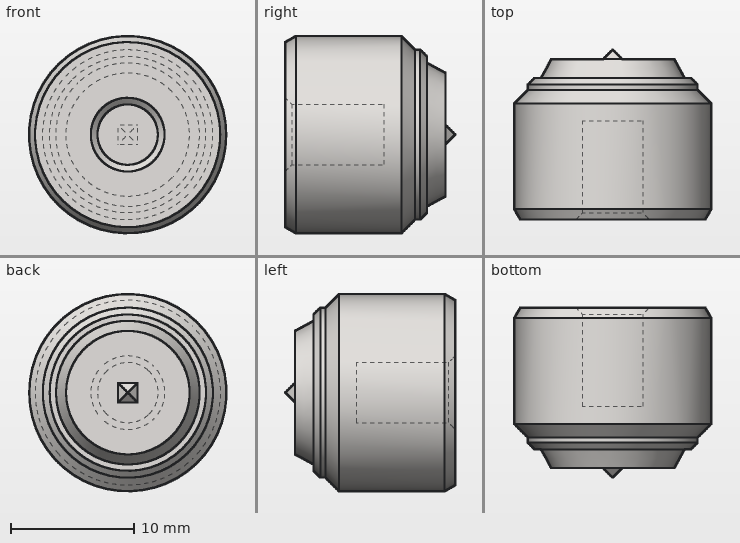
import cadquery as cq

housing_radius = 8.0
front_chamfer_length = 0.86
front_chamfer_height = 0.5
shoulder_y = 9.42
shoulder_chamfer = 1.1
collar_length = 0.42
collar_chamfer = 0.56

collar_radius = housing_radius - shoulder_chamfer
collar_start_y = shoulder_y + shoulder_chamfer
collar_end_y = collar_start_y + collar_length
seat_y = collar_end_y + collar_chamfer

hole_radius = 2.45
hole_depth = 8.0
countersink = 0.55

insert_base_radius = 5.82
insert_top_radius = 5.0
insert_thickness = 1.5
point_height = 0.78

insert_top_y = seat_y + insert_thickness


def revolve_about_y(profile):
    """Turn a closed (radius, Y) outline a full circle about the Y axis."""
    return cq.Workplane("XY").polyline(profile).close().revolve(360, (0, 0, 0), (0, 1, 0))


def make_housing():
    body = revolve_about_y([
        (0, 0),
        (housing_radius - front_chamfer_height, 0),
        (housing_radius, front_chamfer_length),
        (housing_radius, shoulder_y),
        (collar_radius, collar_start_y),
        (collar_radius, collar_end_y),
        (collar_radius - collar_chamfer, seat_y),
        (0, seat_y),
    ])
    hole = revolve_about_y([
        (0, 0),
        (hole_radius + countersink, 0),
        (hole_radius, countersink),
        (hole_radius, hole_depth),
        (0, hole_depth),
    ])
    return body.cut(hole)


def make_point():
    """Square pyramid with 45-degree faces, standing on the insert's flat top."""
    apex = cq.Vector(0, insert_top_y + point_height, 0)
    base = [
        cq.Vector(x_side * point_height, insert_top_y, z_side * point_height)
        for x_side, z_side in [(-1, -1), (1, -1), (1, 1), (-1, 1)]
    ]
    faces = [cq.Face.makeFromWires(cq.Wire.makePolygon(base, close=True))]
    for i, corner in enumerate(base):
        next_corner = base[(i + 1) % len(base)]
        outline = cq.Wire.makePolygon([corner, next_corner, apex], close=True)
        faces.append(cq.Face.makeFromWires(outline))
    return cq.Workplane(cq.Solid.makeSolid(cq.Shell.makeShell(faces)))


def make_insert():
    disc = revolve_about_y([
        (0, seat_y),
        (insert_base_radius, seat_y),
        (insert_top_radius, insert_top_y),
        (0, insert_top_y),
    ])
    return disc.union(make_point())


housing = make_housing()
insert = make_insert()

result = cq.Compound.makeCompound([housing.solids().val(), insert.solids().val()])